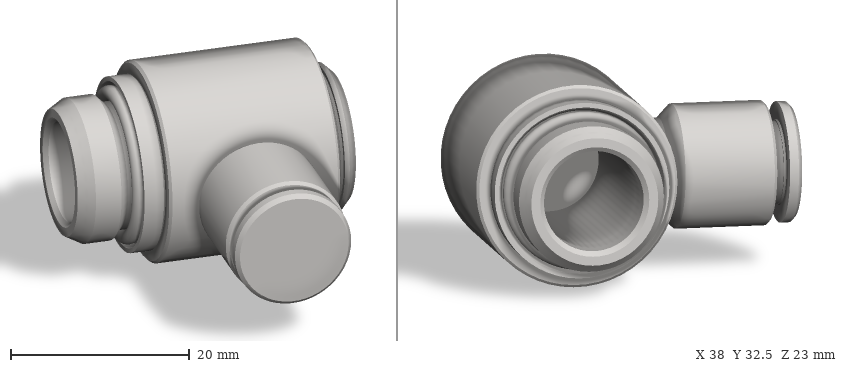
import cadquery as cq


barrel_radius = 11.5
barrel_start = 9.5
barrel_end = 29.5
barrel_chamfer = 0.3

spigot_radius = 8.3
spigot_tip_radius = 7.25
spigot_neck_radius = 7.25
spigot_lead_in = 1.82
spigot_shoulder = 4.83
spigot_neck_start = spigot_shoulder + spigot_radius - spigot_neck_radius

bore_radius = 5.7
bore_mouth_radius = 6.25
bore_chamfer = bore_mouth_radius - bore_radius
bore_depth = 25.08

flange_radius = 10.0
flange_start = 7.0
flange_end = 9.27
flange_neck_radius = 9.75
recess_mouth_radius = 9.45

seal_section_radius = 0.87
seal_center_radius = spigot_neck_radius + seal_section_radius
recess_floor_radius = seal_center_radius + seal_section_radius
recess_floor = flange_start + seal_section_radius

end_radius = 8.47
end_face = 32.5
end_chamfer = 1.03
groove_radius = 7.98
groove_end = 30.9

clip_section_radius = 0.55
clip_center = barrel_end + clip_section_radius
clip_gap = 0.45

port_center = (barrel_start + barrel_end) / 2
port_stub_radius = 5.5
port_radius = 7.03
port_cone_start = 11.48
port_cone_end = port_cone_start + port_radius - port_stub_radius
port_end = 23.55
port_chamfer = 0.35
collar_neck_radius = 4.67
collar_step_radius = 4.83
collar_step_start = 24.75
collar_start = 25.0
collar_radius = 6.8
collar_end = 26.5
collar_chamfer = 0.45


def turn_about_y(points):
    """Revolve a closed (radius, Y) outline about the barrel axis."""
    return cq.Workplane("XY").polyline(points).close().revolve(360, (0, 0), (0, 1))


def make_barrel():
    """Barrel, flange, threaded spigot and grooved end as one turned shape."""
    return turn_about_y([
        (0, 0),
        (spigot_tip_radius, 0),
        (spigot_radius, spigot_lead_in),
        (spigot_radius, spigot_shoulder),
        (spigot_neck_radius, spigot_neck_start),
        (spigot_neck_radius, recess_floor),
        (recess_floor_radius, recess_floor),
        (recess_mouth_radius, flange_start),
        (flange_radius, flange_start),
        (flange_radius, flange_end),
        (flange_neck_radius, flange_end),
        (flange_neck_radius, barrel_start),
        (barrel_radius - barrel_chamfer, barrel_start),
        (barrel_radius, barrel_start + barrel_chamfer),
        (barrel_radius, barrel_end - barrel_chamfer),
        (barrel_radius - barrel_chamfer, barrel_end),
        (groove_radius, barrel_end),
        (groove_radius, groove_end),
        (end_radius, groove_end),
        (end_radius, end_face - end_chamfer),
        (end_radius - end_chamfer, end_face),
        (0, end_face),
    ])


def make_bore():
    """Blind bore with a chamfered mouth."""
    return turn_about_y([
        (0, 0),
        (bore_mouth_radius, 0),
        (bore_radius, bore_chamfer),
        (bore_radius, bore_depth),
        (0, bore_depth),
    ])


def make_port():
    """Side port with its release collar, starting inside the solid barrel wall."""
    root = (bore_radius + barrel_radius) / 2
    outline = [
        (root, 0),
        (root, port_stub_radius),
        (port_cone_start, port_stub_radius),
        (port_cone_end, port_radius),
        (port_end - port_chamfer, port_radius),
        (port_end, port_radius - port_chamfer),
        (port_end, collar_neck_radius),
        (collar_step_start, collar_neck_radius),
        (collar_step_start, collar_step_radius),
        (collar_start, collar_step_radius),
        (collar_start, collar_radius),
        (collar_end - collar_chamfer, collar_radius),
        (collar_end, collar_radius - collar_chamfer),
        (collar_end, 0),
    ]
    port = cq.Workplane("XY").polyline(outline).close().revolve(360, (0, 0), (1, 0))
    return port.translate((0, port_center, 0))


def make_fitting():
    return make_barrel().union(make_port()).cut(make_bore())


def make_seal():
    """O-ring around the spigot neck."""
    section = cq.Workplane("XY").center(seal_center_radius, flange_start).circle(seal_section_radius)
    return section.revolve(360, (-seal_center_radius, 0), (-seal_center_radius, 1))


def make_clip():
    """Retaining ring, open at +Z."""
    ring = (
        cq.Workplane("XY")
        .moveTo(groove_radius, clip_center - clip_section_radius)
        .threePointArc(
            (groove_radius + clip_section_radius, clip_center),
            (groove_radius, clip_center + clip_section_radius),
        )
        .close()
        .revolve(360, (0, 0), (0, 1))
    )
    gap = cq.Workplane("XY").box(
        clip_gap, 2 * barrel_radius, barrel_radius, centered=(True, True, False)
    )
    return ring.cut(gap.translate((0, clip_center, 0)))


fitting = make_fitting()
seal = make_seal()
clip = make_clip()

result = cq.Compound.makeCompound([fitting.val(), seal.val(), clip.val()])